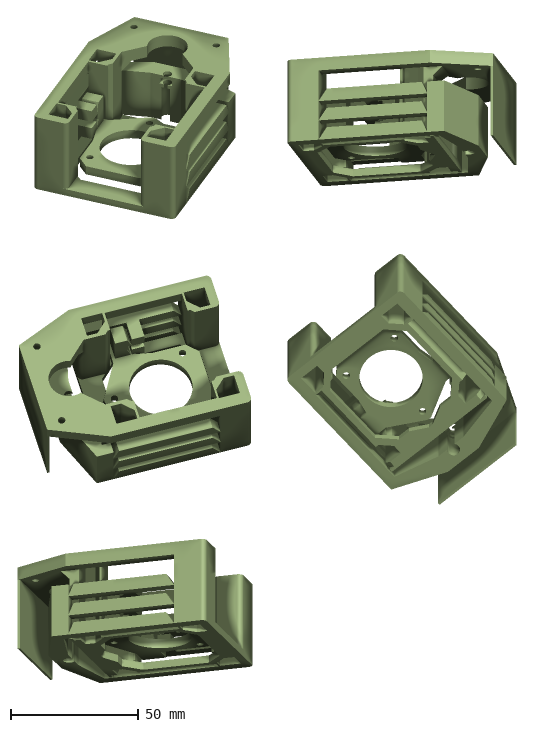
import cadquery as cq

width = 60.0
length = 81.16
height = 33.8
half_width = width / 2

wall = 5.25
roof_bottom = height - wall
inner_half = half_width - wall
thin_wall_inner = 25.4
floor_thickness = 3.0
corner_radius = 2.0

frame_rear = 58.0
post_inner = 15.3
post_step = 16.7
window_front = 13.0
window_rear = 56.8
rear_post_front = 44.7
opening_half = 20.0
opening_front = 8.6
opening_rear = 49.0
opening_chamfer = 6.6
peak_width = 8.0
peak_top_width = 0.9
peak_rise = 3.8
window_undercut = 2.3

core_inner = 16.7
core_outer = 25.0
core_depth = 8.55
core_chamfer = 4.3
front_core_front = 3.65
rear_core_rear = 54.2

roof_rear_half = 20.0
roof_taper_start = 57.9
roof_hole_x = 17.5
roof_hole_y = 74.5
screw_diameter = 2.9
pivot_y = 66.5
roof_bore_radius = 8.0
throat_start = 56.0
throat_narrowing = 7.7
rear_sheet = 1.0

gusset_size = 3.65
gusset_foot_x = 15.0
gusset_roof_x = 12.2

louver_pitch = 7.95
louver_count = 3
louver_height = 4.95
louver_rear_slope = 2.2
louver_front_slope = 3.25
louver_overlap = 0.1
catch_inner = 17.45
catch_front = 30.4
catch_rear = 35.6
block_top = louver_pitch * (louver_count - 1) + louver_height

bow_outer_rear = 72.4
bow_outer_half = 8.0
bow_side_rear = 63.7
bow_inner_y = 64.8
bow_inner_half = 6.5
bow_inner_side_rear = 60.3
pivot_diameter = 3.7
pivot_counterbore = 5.0
pivot_counterbore_top = 15.2
nut_half_width = 2.7
nut_bottom = 16.8
nut_top = 19.4
nut_depth = 5.4

plate_bottom = 5.3
plate_top = 9.1
motor_y = 28.8
motor_diameter = 25.0
motor_screw_x = 12.5
motor_screw_front = 12.5
motor_screw_rear = 19.0
plate_half = 15.9
plate_front = 9.7
plate_chamfer = 4.4
plate_straight_end = 27.6
plate_shoulder_half = 17.2
ear_half = 23.4
ear_front = 34.1
ear_rear = 43.75
plate_apex = 51.9
plate_apex_half = 0.9
plate_neck_half = 15.6

hook_inner = 17.45
hook_outer = 24.45
hook_rear = 42.45
hook_front = 37.4
tooth_depth = 1.75


def mirrored_points(right_half):
    """Close an outline from its right half, listed from front to rear."""
    return right_half + [(-x, y) for x, y in reversed(right_half)]


def prism(points, z_bottom, z_top):
    return cq.Workplane("XY").workplane(offset=z_bottom).polyline(points).close().extrude(z_top - z_bottom)


def block(x_range, y_range, z_range):
    size = [end - start for start, end in (x_range, y_range, z_range)]
    return cq.Workplane("XY").box(*size, centered=False).translate((x_range[0], y_range[0], z_range[0]))


def cylinder(x, y, diameter, z_bottom, z_top):
    return cq.Workplane("XY").workplane(offset=z_bottom).center(x, y).circle(diameter / 2).extrude(z_top - z_bottom)


def side_prism(points, x_inner, x_outer):
    """Extrude a Y-Z outline along X."""
    return cq.Workplane("YZ").workplane(offset=x_inner).polyline(points).close().extrude(x_outer - x_inner)


def both_sides(shape):
    return shape.union(shape.mirror("YZ"))


def make_frame():
    """Floor and corner posts, with the central space and side windows cut out."""
    frame = block((-half_width, half_width), (0, frame_rear), (0, height))
    frame = frame.edges("|Z and <Y").fillet(corner_radius)

    channel = block((-post_inner, post_inner), (0, frame_rear), (floor_thickness, height))
    frame = frame.cut(channel)
    channel_corners = cq.selectors.BoxSelector(
        (-post_step, -corner_radius, floor_thickness),
        (post_step, frame_rear + corner_radius, height),
    )
    frame = frame.edges("|Z").edges(channel_corners).fillet(corner_radius)

    bay = block((-inner_half, inner_half), (window_front, rear_post_front), (floor_thickness, height))
    frame = frame.cut(bay)
    window = block((inner_half, half_width), (window_front, frame_rear), (0, roof_bottom))
    frame = frame.cut(both_sides(window.union(make_undercut())))

    octagon = octagon_half()
    peak = [(peak_width, opening_rear), (peak_top_width, opening_rear + peak_rise)]
    frame = frame.cut(prism(mirrored_points(octagon + peak), 0, floor_thickness))

    post_trim = prism(mirrored_points(octagon), floor_thickness, height)
    trim_limit = block((-post_step, post_step), (0, frame_rear), (floor_thickness, height))
    return frame.cut(post_trim.intersect(trim_limit))


def make_undercut():
    """Sloped cut under the edge of the floor along one window."""
    points = [
        (inner_half, 0),
        (inner_half, window_undercut),
        (inner_half - window_undercut, 0),
    ]
    profile = cq.Workplane("XZ", origin=(0, window_front, 0)).polyline(points).close()
    return profile.extrude(window_front - window_rear)


def octagon_half():
    """Right half of the octagonal opening, from front to rear."""
    return [
        (opening_half - opening_chamfer, opening_front),
        (opening_half, opening_front + opening_chamfer),
        (opening_half, opening_rear - opening_chamfer),
        (opening_half - opening_chamfer, opening_rear),
    ]


def make_roof():
    """Tapered roof behind the posts with its bore, throat, screw holes and rear sheet."""
    outline = [
        (half_width, throat_start),
        (half_width, roof_taper_start),
        (roof_rear_half, length),
    ]
    roof = prism(mirrored_points(outline), roof_bottom, height)
    throat = [
        (post_inner, throat_start),
        (post_inner - throat_narrowing, throat_start + throat_narrowing),
    ]
    roof = roof.cut(prism(mirrored_points(throat), roof_bottom, height))
    roof = roof.cut(cylinder(0, pivot_y, 2 * roof_bore_radius, roof_bottom, height))
    for x in (-roof_hole_x, roof_hole_x):
        roof = roof.cut(cylinder(x, roof_hole_y, screw_diameter, roof_bottom, height))
    sheet = block((-roof_rear_half, roof_rear_half), (length - rear_sheet, length), (0, roof_bottom))
    return roof.union(sheet)


def make_gussets():
    """Wedges under the roof behind the rear posts, sloped to the rear and inward."""
    foot_z = roof_bottom - gusset_size
    wedge = side_prism(
        [
            (throat_start, foot_z),
            (frame_rear, foot_z),
            (frame_rear + gusset_size, roof_bottom),
            (throat_start, roof_bottom),
        ],
        gusset_roof_x,
        inner_half,
    )
    inner_limit = (
        cq.Workplane("XZ")
        .polyline([
            (gusset_foot_x, foot_z),
            (inner_half, foot_z),
            (inner_half, roof_bottom),
            (gusset_roof_x, roof_bottom),
        ])
        .close()
        .extrude(-length)
    )
    throat_limit = prism(
        [
            (post_inner, throat_start),
            (inner_half, throat_start),
            (inner_half, length),
            (post_inner - throat_narrowing, throat_start + throat_narrowing),
        ],
        foot_z,
        roof_bottom,
    )
    return both_sides(wedge.intersect(inner_limit).intersect(throat_limit))


def make_louvers():
    """Louver bars with sloped ends; all but the lowest carry a catch."""
    bars = cq.Workplane("XY")
    for level in range(louver_count):
        bottom = level * louver_pitch
        top = bottom + louver_height
        outline = [
            (window_front - louver_overlap, bottom),
            (window_rear + louver_overlap, bottom),
            (window_rear - louver_rear_slope, top),
            (window_front + louver_front_slope, top),
        ]
        bars = bars.union(side_prism(outline, thin_wall_inner, half_width))
        if level > 0:
            catch = block((catch_inner, thin_wall_inner), (catch_front, catch_rear), (bottom, top))
            bars = bars.union(catch)
    return both_sides(bars)


def make_bow():
    """Rear bow with a vertical pivot hole, its counterbore from below and a nut pocket."""
    outer = [
        (half_width, window_rear),
        (half_width, bow_side_rear),
        (bow_outer_half, bow_outer_rear),
    ]
    bow = prism(mirrored_points(outer), 0, block_top)
    cavity = [
        (thin_wall_inner, window_rear),
        (thin_wall_inner, bow_inner_side_rear),
        (bow_inner_half, bow_inner_y),
    ]
    bow = bow.cut(prism(mirrored_points(cavity), 0, block_top))

    bow = bow.cut(cylinder(0, pivot_y, pivot_diameter, 0, block_top))
    bow = bow.cut(cylinder(0, pivot_y, pivot_counterbore, 0, pivot_counterbore_top))
    nut_pocket = block(
        (-nut_half_width, nut_half_width),
        (bow_inner_y, bow_inner_y + nut_depth),
        (nut_bottom, nut_top),
    )
    return bow.cut(nut_pocket)


def make_motor_plate():
    """Motor plate with its bore, screw holes and side ears."""
    outline = [
        (plate_half - plate_chamfer, plate_front),
        (plate_half, plate_front + plate_chamfer),
        (plate_half, plate_straight_end),
        (plate_shoulder_half, ear_front),
        (ear_half, ear_front),
        (ear_half, ear_rear),
        (plate_neck_half, ear_rear),
        (plate_apex_half, plate_apex),
    ]
    plate = prism(mirrored_points(outline), plate_bottom, plate_top)
    plate = plate.cut(cylinder(0, motor_y, motor_diameter, plate_bottom, plate_top))
    screw_places = [
        (-motor_screw_x, motor_y - motor_screw_front),
        (motor_screw_x, motor_y - motor_screw_front),
        (0, motor_y + motor_screw_rear),
    ]
    for x, y in screw_places:
        plate = plate.cut(cylinder(x, y, screw_diameter, plate_bottom, plate_top))
    return plate


def make_hooks():
    """Upright hooks whose front teeth rest against the catches."""
    hook = block((hook_inner, hook_outer), (hook_front, hook_rear), (plate_top, block_top))
    for level in range(1, louver_count):
        bottom = level * louver_pitch
        tooth = [
            (hook_front, bottom),
            (hook_front - tooth_depth, bottom),
            (hook_front, bottom + louver_height),
        ]
        hook = hook.union(side_prism(tooth, hook_inner, hook_outer))
    return both_sides(hook)


def make_post_cores():
    """Hollow cores through the posts, from floor to roof."""
    core_rear = front_core_front + core_depth
    middle = (front_core_front + rear_core_rear) / 2
    front_core = prism(
        [
            (core_inner, front_core_front),
            (core_outer, front_core_front),
            (core_outer, core_rear),
            (core_inner + core_chamfer, core_rear),
            (core_inner, core_rear - core_chamfer),
        ],
        0,
        height,
    )
    rear_core = front_core.mirror("XZ", (0, middle, 0))
    return both_sides(front_core.union(rear_core))


result = (
    make_frame()
    .union(make_roof())
    .union(make_gussets())
    .union(make_louvers())
    .union(make_bow())
    .cut(make_post_cores())
    .union(make_motor_plate())
    .union(make_hooks())
)